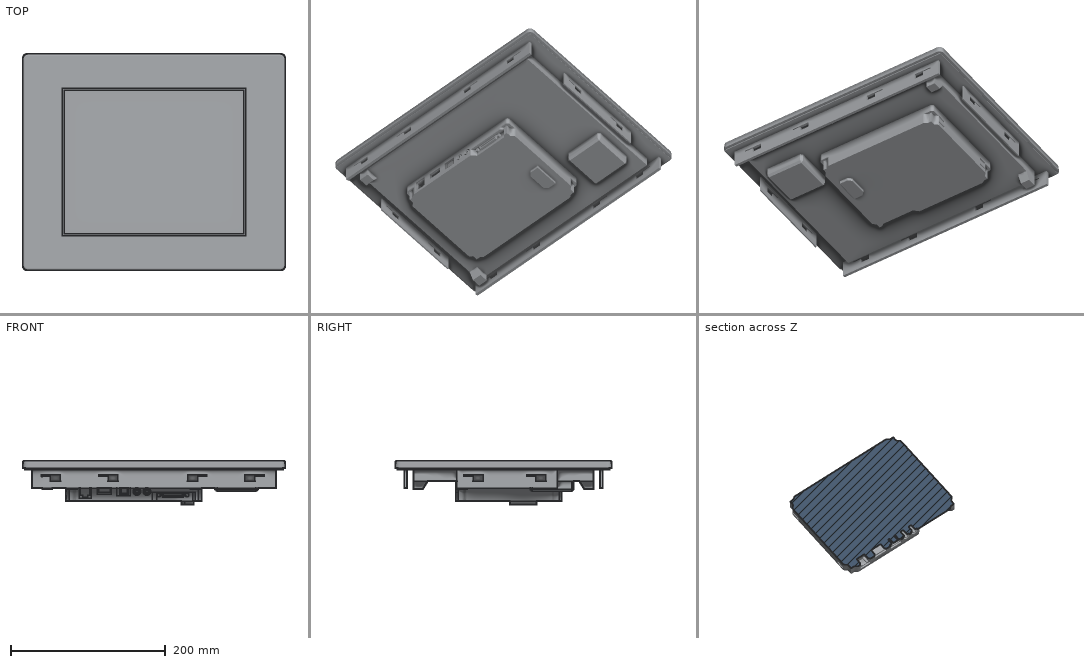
import cadquery as cq
import math


LENGTH = 339.5
WIDTH = 280.0
BEZEL_DEPTH = 10.0
BEZEL_CORNER = 6.8
SIDE_INSET = 0.5
FACE_FILLET = 2.7

WINDOW_LENGTH = 237.5
WINDOW_WIDTH = 190.5
WINDOW_MARGIN = 2.7
WINDOW_STEP = 0.17

GASKET_INSET = 3.7
PLATE_INSET = 2.7
GASKET_BOTTOM = 12.0
PLATE_BOTTOM = 12.2

FLANGE_BOTTOM = 35.5
LONG_FLANGE_THICKNESS = 3.7
END_FLANGE_THICKNESS = 1.7
FLANGE_X = 158.0
FLANGE_Y = 128.5
END_FLANGE_WIDTH = 129.7
END_FLANGE_Y = 4.8

HOOK_TOP = 18.7
HOOK_WIDTH = 13.0
HOOK_HEIGHT = 7.8
SLIT_LENGTH = 12.0
SLIT_HEIGHT = 1.7
LONG_SIDE_HOOKS = [(-127.3, -1), (-53.0, -1), (50.0, 1), (124.0, 1)]
END_HOOKS = [(48.2, -1), (-33.0, -1)]

COVER_X = 144.3
COVER_Y = 116.5
COVER_BOTTOM = 26.5
FOOT_BOTTOM = 37.0
FOOT_REACH = 13.0
FOOT_WIDTH = 12.2
FOOT_SLOPE = 6.5

BOX_LENGTH = 55.7
BOX_WIDTH = 56.5
BOX_X = 106.5
BOX_Y = 62.5
BOX_BOTTOM = 39.7
BOX_CHAMFER = 2.7

MODULE_LENGTH = 176.0
MODULE_WIDTH = 137.0
MODULE_X = -26.0
MODULE_Y = 6.8
MODULE_BOTTOM = 52.5
MODULE_CORNER = 4.0
MODULE_FRONT = MODULE_Y - MODULE_WIDTH / 2
MODULE_LEFT = MODULE_X - MODULE_LENGTH / 2

RELIEF_TOP = 37.0
RELIEF_LENGTH = 15.0
RELIEF_RAMP = 6.8
RELIEF_STEP_X = 4.5
RELIEF_STEP_Y = 3.0

VENT_LENGTH = 12.0
VENT_DEPTH = 1.0
VENTS = [(36.3, 3.5), (46.0, 3.7)]

SHELL_DEPTH = 1.7
SOCKET_DEPTH = 10.2
NETWORK_SHELL = (-96.8, -81.0, 31.2, 48.5)
NETWORK_SOCKET = (-95.0, -83.0, 33.0, 45.0)
NETWORK_KEYWAY = (-92.5, -85.5, 33.0, 47.2)
HOST_SHELL = (-73.5, -55.0, 33.5, 43.5)
HOST_SOCKET = (-71.5, -56.7, 35.0, 41.0)
DEVICE_SHELL = (-48.0, -30.5, 32.5, 46.0)
DEVICE_SOCKET = (-44.0, -33.3, 33.5, 44.5)
DEVICE_TONGUE = (-42.5, -34.5, 35.0, 42.5)
JACK_Z = 40.0
JACK_RADIUS = 4.8
JACK_SLEEVE_RADIUS = 3.5
JACK_HOLE_RADIUS = 2.0
JACK_X = (-22.0, -9.0)

BAY_LEFT = -2.5
BAY_RIGHT = 56.0
BAY_TOP = 40.7
BAY_DEPTH = 6.0
SERIAL_X = 24.5
SERIAL_Z = 44.5
SERIAL_LENGTH = 30.0
SERIAL_HEIGHT = 6.0
SERIAL_TAPER = 1.7
SERIAL_REACH = 3.0
SCREW_SPACING = 36.5
SCREW_RADIUS = 2.5

CAP_X = 43.5
CAP_Y = 25.5
CAP_LENGTH = 16.3
CAP_WIDTH = 34.5
CAP_BOTTOM = 57.0
CAP_CORNER = 4.5


def slab(length, width, top, bottom, x=0, y=0):
    """Upright block given by its plan size, depth range and plan centre."""
    plane = cq.Workplane("XY", origin=(x, y, -bottom))
    return plane.rect(length, width).extrude(bottom - top)


def span(x_range, y_range, top, bottom):
    """Upright block given by its limits in X, Y and depth."""
    length = x_range[1] - x_range[0]
    width = y_range[1] - y_range[0]
    return slab(length, width, top, bottom, sum(x_range) / 2, sum(y_range) / 2)


def make_bezel():
    draft = math.degrees(math.atan2(SIDE_INSET, BEZEL_DEPTH))
    outline = cq.Sketch().rect(LENGTH, WIDTH).vertices().fillet(BEZEL_CORNER)
    bezel = cq.Workplane("XY", origin=(0, 0, -BEZEL_DEPTH)).placeSketch(outline)
    bezel = bezel.extrude(BEZEL_DEPTH, taper=draft)
    bezel = bezel.faces(">Z").edges().fillet(FACE_FILLET)
    glass_length = WINDOW_LENGTH - 2 * WINDOW_MARGIN
    glass_width = WINDOW_WIDTH - 2 * WINDOW_MARGIN
    bezel = bezel.cut(slab(WINDOW_LENGTH, WINDOW_WIDTH, 0, WINDOW_STEP))
    bezel = bezel.cut(slab(glass_length, glass_width, 0, 2 * WINDOW_STEP))
    gasket = slab(LENGTH - 2 * GASKET_INSET, WIDTH - 2 * GASKET_INSET, BEZEL_DEPTH, GASKET_BOTTOM)
    plate = slab(LENGTH - 2 * PLATE_INSET, WIDTH - 2 * PLATE_INSET, GASKET_BOTTOM, PLATE_BOTTOM)
    return bezel.union(gasket).union(plate)


def hook_opening(direction):
    """Cutter for a flange facing Y, centred on its window at X = 0."""
    window = slab(HOOK_WIDTH, 2 * LONG_FLANGE_THICKNESS, HOOK_TOP, HOOK_TOP + HOOK_HEIGHT)
    slit_x = direction * (HOOK_WIDTH + SLIT_LENGTH) / 2
    slit = slab(SLIT_LENGTH, 2 * LONG_FLANGE_THICKNESS, HOOK_TOP, HOOK_TOP + SLIT_HEIGHT, slit_x)
    return window.union(slit)


def make_flanges():
    long_y = FLANGE_Y - LONG_FLANGE_THICKNESS / 2
    end_x = FLANGE_X - END_FLANGE_THICKNESS / 2
    long_side = slab(2 * FLANGE_X, LONG_FLANGE_THICKNESS, PLATE_BOTTOM, FLANGE_BOTTOM)
    for x, direction in LONG_SIDE_HOOKS:
        long_side = long_side.cut(hook_opening(direction).translate((x, 0, 0)))
    end = slab(END_FLANGE_THICKNESS, END_FLANGE_WIDTH, PLATE_BOTTOM, FLANGE_BOTTOM, y=END_FLANGE_Y)
    for y, direction in END_HOOKS:
        opening = hook_opening(direction).rotate((0, 0, 0), (0, 0, 1), 90)
        end = end.cut(opening.translate((0, y, 0)))
    flanges = long_side.translate((0, -long_y, 0)).union(long_side.translate((0, long_y, 0)))
    return flanges.union(end.translate((-end_x, 0, 0))).union(end.translate((end_x, 0, 0)))


def make_cover():
    cover = span((FOOT_REACH - COVER_X, COVER_X), (-COVER_Y, COVER_Y), PLATE_BOTTOM, COVER_BOTTOM)
    foot_inner = COVER_Y - FOOT_WIDTH
    half_outline = [
        (COVER_Y, -PLATE_BOTTOM),
        (COVER_Y, -FOOT_BOTTOM),
        (foot_inner, -FOOT_BOTTOM),
        (foot_inner - FOOT_SLOPE, -COVER_BOTTOM),
    ]
    mirrored_half = [(-y, z) for y, z in reversed(half_outline)]
    plane = cq.Workplane("YZ", origin=(-COVER_X, 0, 0))
    end_section = plane.polyline(half_outline + mirrored_half).close().extrude(FOOT_REACH)
    return cover.union(end_section)


def make_box():
    box = slab(BOX_LENGTH, BOX_WIDTH, COVER_BOTTOM, BOX_BOTTOM, BOX_X, BOX_Y)
    return box.edges("|Z or <Z").chamfer(BOX_CHAMFER)


def corner_relief():
    """Cutter for the +X +Y corner of a module centred on the origin."""
    edge_x = MODULE_LENGTH / 2
    edge_y = MODULE_WIDTH / 2
    inner_x = edge_x - RELIEF_STEP_X
    inner_y = edge_y - RELIEF_STEP_Y
    start_x = edge_x - RELIEF_LENGTH
    start_y = edge_y - RELIEF_LENGTH
    along_y = (0, 1)
    along_x = (-1, 0)
    outline = (
        cq.Workplane("XY", origin=(0, 0, -MODULE_BOTTOM))
        .moveTo(edge_x, edge_y)
        .lineTo(edge_x, start_y)
        .spline([(inner_x, start_y + RELIEF_RAMP)], tangents=[along_y, along_y], includeCurrent=True)
        .lineTo(inner_x, inner_y)
        .lineTo(start_x + RELIEF_RAMP, inner_y)
        .spline([(start_x, edge_y)], tangents=[along_x, along_x], includeCurrent=True)
        .close()
    )
    return outline.extrude(MODULE_BOTTOM - RELIEF_TOP)


def make_module():
    module = slab(MODULE_LENGTH, MODULE_WIDTH, COVER_BOTTOM, MODULE_BOTTOM)
    module = module.edges("|Z").fillet(MODULE_CORNER)
    relief = corner_relief()
    for cutter in (relief, relief.mirror("YZ")):
        module = module.cut(cutter).cut(cutter.mirror("XZ"))
    module = module.translate((MODULE_X, MODULE_Y, 0))
    vent_x = (MODULE_LEFT, MODULE_LEFT + VENT_DEPTH)
    vent_offset = MODULE_WIDTH / 2 - RELIEF_LENGTH - VENT_LENGTH / 2
    for vent_top, vent_height in VENTS:
        for side in (-1, 1):
            vent_y = MODULE_Y + side * vent_offset
            vent_range = (vent_y - VENT_LENGTH / 2, vent_y + VENT_LENGTH / 2)
            module = module.cut(span(vent_x, vent_range, vent_top, vent_top + vent_height))
    return module


def wall_pocket(limits, depth, start=0):
    """Block entering the -Y module wall, from one depth to a further one."""
    left, right, top, bottom = limits
    return span((left, right), (MODULE_FRONT + start, MODULE_FRONT + depth), top, bottom)


def wall_cylinder(x, z, radius, depth):
    """Cylinder reaching from the -Y module wall to a depth behind it."""
    plane = cq.Workplane("XZ", origin=(x, MODULE_FRONT, -z))
    return plane.circle(radius).extrude(-depth)


def cut_network_port(module):
    module = module.cut(wall_pocket(NETWORK_SHELL, SHELL_DEPTH))
    module = module.cut(wall_pocket(NETWORK_SOCKET, SOCKET_DEPTH))
    return module.cut(wall_pocket(NETWORK_KEYWAY, SOCKET_DEPTH))


def cut_usb_ports(module):
    module = module.cut(wall_pocket(HOST_SHELL, SHELL_DEPTH))
    module = module.cut(wall_pocket(HOST_SOCKET, SOCKET_DEPTH))
    module = module.cut(wall_pocket(DEVICE_SHELL, SHELL_DEPTH))
    module = module.cut(wall_pocket(DEVICE_SOCKET, SOCKET_DEPTH))
    return module.union(wall_pocket(DEVICE_TONGUE, SOCKET_DEPTH, SHELL_DEPTH))


def cut_audio_jacks(module):
    for x in JACK_X:
        module = module.cut(wall_cylinder(x, JACK_Z, JACK_RADIUS, SHELL_DEPTH))
        sleeve = wall_cylinder(x, JACK_Z, JACK_SLEEVE_RADIUS, SHELL_DEPTH)
        module = module.union(sleeve)
        module = module.cut(wall_cylinder(x, JACK_Z, JACK_HOLE_RADIUS, SOCKET_DEPTH))
    return module


def add_serial_port(module):
    bay_floor = MODULE_FRONT + BAY_DEPTH
    bay = (
        cq.Workplane("XY", origin=(0, 0, -MODULE_BOTTOM))
        .moveTo(BAY_LEFT, MODULE_FRONT)
        .lineTo(BAY_LEFT + BAY_DEPTH, bay_floor)
        .lineTo(BAY_RIGHT - BAY_DEPTH, bay_floor)
        .lineTo(BAY_RIGHT, MODULE_FRONT)
        .close()
        .extrude(MODULE_BOTTOM - BAY_TOP)
    )
    module = module.cut(bay)
    face = cq.Workplane("XZ", origin=(SERIAL_X, bay_floor, -SERIAL_Z))
    half_top = SERIAL_LENGTH / 2
    half_bottom = half_top - SERIAL_TAPER
    half_height = SERIAL_HEIGHT / 2
    shell_outline = [
        (-half_top, half_height),
        (half_top, half_height),
        (half_bottom, -half_height),
        (-half_bottom, -half_height),
    ]
    shell = face.polyline(shell_outline).close().extrude(SERIAL_REACH)
    shell = shell.faces("<Y").shell(-SHELL_DEPTH)
    screws = face.pushPoints([(-SCREW_SPACING / 2, 0), (SCREW_SPACING / 2, 0)])
    return module.union(shell).union(screws.circle(SCREW_RADIUS).extrude(SERIAL_REACH))


def make_cap():
    cap = slab(CAP_LENGTH, CAP_WIDTH, MODULE_BOTTOM, CAP_BOTTOM, CAP_X, CAP_Y)
    return cap.edges("|Z and <X").chamfer(CAP_CORNER)


module = make_module()
for add_connectors in (cut_network_port, cut_usb_ports, cut_audio_jacks, add_serial_port):
    module = add_connectors(module)

result = make_bezel()
for piece in (make_flanges(), make_cover(), make_box(), module, make_cap()):
    result = result.union(piece)